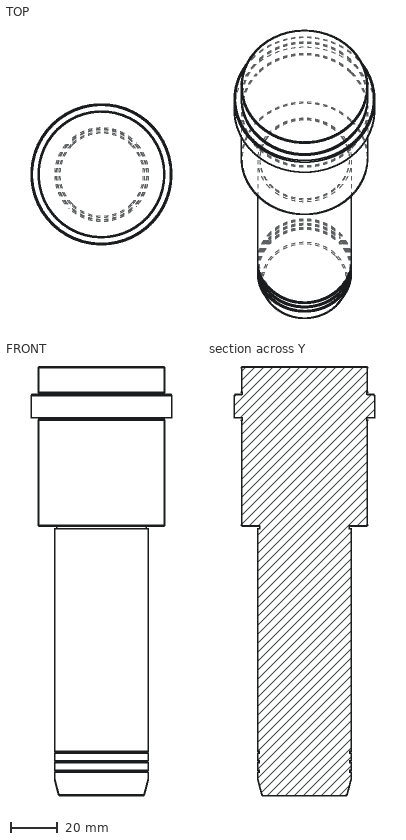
import cadquery as cq

total_height = 183.0
taper_height = 7.1
shaft_top = 114.0
sleeve_bottom = 115.1
flange_bottom = 161.2
flange_height = 10.0
flange_top = flange_bottom + flange_height

flange_diameter = 60.0
sleeve_diameter = 54.0
shaft_diameter = 40.0
neck_diameter = 38.2
tip_diameter = 36.6

flange_chamfer = 0.5
sleeve_chamfer = 0.4
tip_chamfer = 0.5

groove_flank = 0.2

relief_width = 1.0
relief_depth = 0.4

ring_groove_count = 3
ring_groove_width = 1.0
ring_groove_depth = 0.5
ring_groove_pitch = 4.0
lowest_ring_groove = 10.0


def cylinder(diameter, bottom, top):
    """Solid cylinder on the Z axis between two heights."""
    return cq.Workplane("XY").workplane(offset=bottom).circle(diameter / 2).extrude(top - bottom)


def cut_groove(body, diameter, depth, bottom, width):
    """Cut a groove with sloped flanks around a cylinder, starting at the height `bottom`."""
    radius = diameter / 2
    cutter = (
        cq.Workplane("XZ")
        .polyline([
            (radius, bottom),
            (radius - depth, bottom + groove_flank),
            (radius - depth, bottom + width - groove_flank),
            (radius, bottom + width),
        ])
        .close()
        .revolve(360, (0, 0, 0), (0, 1, 0))
    )
    return body.cut(cutter)


def make_shaft():
    """Guide shaft with a tapered, chamfered tip and ring grooves."""
    shaft_radius = shaft_diameter / 2
    tip_radius = tip_diameter / 2
    shaft = (
        cq.Workplane("XZ")
        .polyline([
            (0, 0),
            (tip_radius - tip_chamfer, 0),
            (tip_radius, tip_chamfer),
            (shaft_radius, taper_height),
            (shaft_radius, shaft_top),
            (0, shaft_top),
        ])
        .close()
        .revolve(360, (0, 0, 0), (0, 1, 0))
    )
    for index in range(ring_groove_count):
        bottom = lowest_ring_groove + index * ring_groove_pitch
        shaft = cut_groove(shaft, shaft_diameter, ring_groove_depth, bottom, ring_groove_width)
    return shaft


def make_sleeve():
    """Wide upper body, chamfered at both ends and relieved on both sides of the flange."""
    sleeve = cylinder(sleeve_diameter, sleeve_bottom, total_height)
    sleeve = sleeve.edges().chamfer(sleeve_chamfer)
    for bottom in (flange_bottom - relief_width, flange_top):
        sleeve = cut_groove(sleeve, sleeve_diameter, relief_depth, bottom, relief_width)
    return sleeve


neck = cylinder(neck_diameter, shaft_top, sleeve_bottom)
flange = cylinder(flange_diameter, flange_bottom, flange_top).faces(">Z").chamfer(flange_chamfer)
result = make_shaft().union(neck).union(make_sleeve()).union(flange)